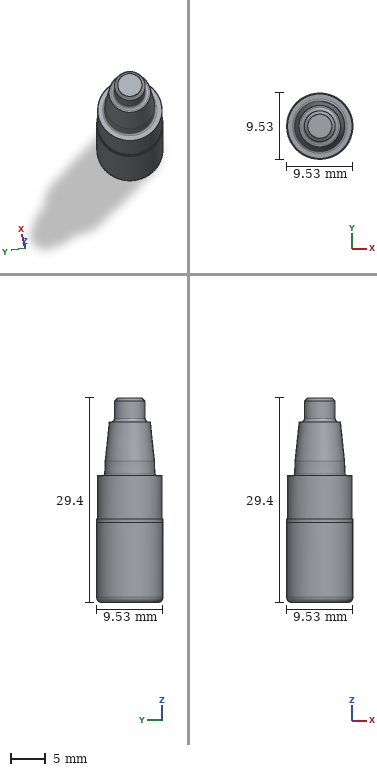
import cadquery as cq

total_height = 29.4

sleeve_diameter = 9.53
sleeve_height = 11.5
foot_round = 0.75

collar_height = 0.5
barrel_diameter = 9.25
barrel_top = 18.23
neck_diameter = 7.25
taper_bottom_diameter = 7.11
neck_fillet = 0.25
taper_bottom = 20.32
taper_top = 25.93
taper_top_diameter = 5.95
tip_diameter = 4.4
tip_fillet = 0.53
tip_chamfer = 0.47


def make_sleeve():
    """Solid lower cylinder with a rounded bottom edge."""
    sleeve = cq.Workplane("XY").circle(sleeve_diameter / 2).extrude(sleeve_height)
    return sleeve.faces("<Z").edges().fillet(foot_round)


def make_plug():
    """Turned upper body that stands on the sleeve."""
    sleeve_radius = sleeve_diameter / 2
    barrel_radius = barrel_diameter / 2
    neck_radius = neck_diameter / 2
    tip_radius = tip_diameter / 2
    collar_top = sleeve_height + collar_height
    profile = (
        cq.Workplane("XZ")
        .moveTo(0, sleeve_height)
        .lineTo(sleeve_radius, sleeve_height)
        .lineTo(sleeve_radius, collar_top)
        .lineTo(barrel_radius, collar_top)
        .lineTo(barrel_radius, barrel_top)
        .lineTo(neck_radius + neck_fillet, barrel_top)
        .radiusArc((neck_radius, barrel_top + neck_fillet), neck_fillet)
        .lineTo(taper_bottom_diameter / 2, taper_bottom)
        .lineTo(taper_top_diameter / 2, taper_top)
        .lineTo(tip_radius + tip_fillet, taper_top)
        .radiusArc((tip_radius, taper_top + tip_fillet), tip_fillet)
        .lineTo(tip_radius, total_height - tip_chamfer)
        .lineTo(tip_radius - tip_chamfer, total_height)
        .lineTo(0, total_height)
        .close()
    )
    return profile.revolve(360, (0, 0, 0), (0, 1, 0))


sleeve = make_sleeve()
plug = make_plug()
result = cq.Compound.makeCompound([sleeve.val(), plug.val()])